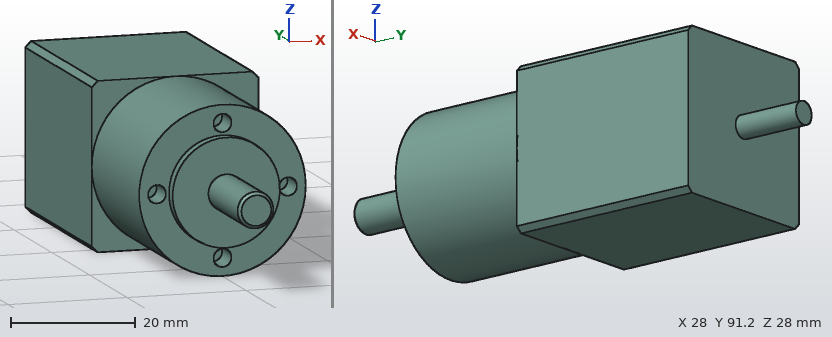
import cadquery as cq

body_side = 28.0
body_length = 35.5
body_chamfer = 1.0

gearbox_diameter = body_side
gearbox_length = 25.2

pilot_diameter = 18.0
pilot_length = 2.0

output_shaft_diameter = 6.0
output_shaft_length = 16.0
output_shaft_chamfer = 0.5

rear_shaft_diameter = 4.0
rear_shaft_length = 12.5

mount_hole_count = 4
mount_hole_diameter = 3.0
mount_circle_diameter = 22.0
mount_hole_depth = 5.0

gearbox_face_y = -gearbox_length
pilot_face_y = gearbox_face_y - pilot_length


def cylinder_along_y(diameter, start_y, end_y):
    """Solid cylinder centred on the Y axis between two Y positions."""
    return cq.Workplane("XZ", origin=(0, start_y, 0)).circle(diameter / 2).extrude(start_y - end_y)


def motor_body():
    block = cq.Workplane("XY").box(body_side, body_length, body_side, centered=(True, False, True))
    return block.edges("|Y").chamfer(body_chamfer)


def output_shaft():
    shaft = cylinder_along_y(output_shaft_diameter, pilot_face_y, pilot_face_y - output_shaft_length)
    return shaft.faces("<Y").edges().chamfer(output_shaft_chamfer)


def mount_holes():
    """Blind holes in the gearbox face, spaced evenly around the pilot."""
    return (
        cq.Workplane("XZ", origin=(0, gearbox_face_y, 0))
        .polarArray(mount_circle_diameter / 2, 0, 360, mount_hole_count)
        .circle(mount_hole_diameter / 2)
        .extrude(-mount_hole_depth)
    )


gearbox = cylinder_along_y(gearbox_diameter, 0, gearbox_face_y)
pilot = cylinder_along_y(pilot_diameter, gearbox_face_y, pilot_face_y)
rear_shaft = cylinder_along_y(rear_shaft_diameter, body_length, body_length + rear_shaft_length)

result = (
    motor_body()
    .union(gearbox)
    .cut(mount_holes())
    .union(pilot)
    .union(output_shaft())
    .union(rear_shaft)
)